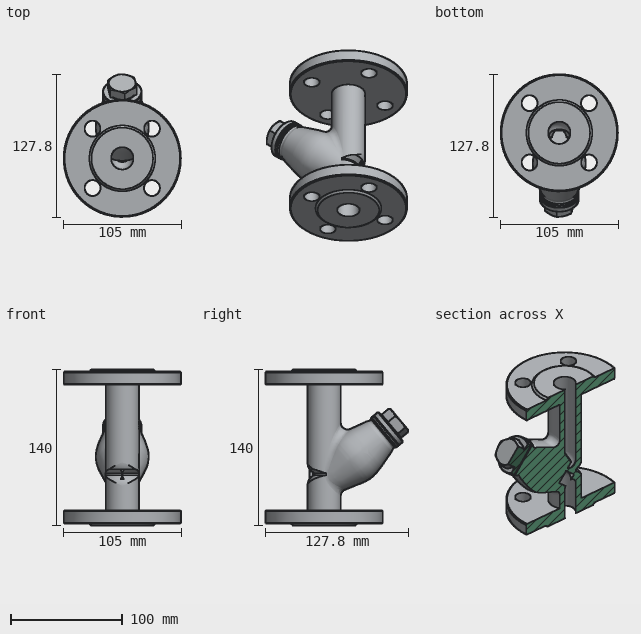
import cadquery as cq
import math

LENGTH = 140.0
PIPE_DIA = 30.0
BORE_DIA = 20.0

FLANGE_DIA = 105.0
FLANGE_THICKNESS = 12.0
FLANGE_CHAMFER = 1.0
FACE_DIA = 59.0
FACE_HEIGHT = 2.0
BOLT_HOLE_DIA = 14.0
BOLT_CIRCLE_DIA = 75.0
BOLT_COUNT = 4

BRANCH_Z = -31.4
BRANCH_TILT = 40.0
BRANCH_FILLET = 6.0

ROOT_RADIUS = 13.3
BULGE_START = (16.8, 10.1)
BULGE_POINTS = [(17.9, 13.3), (20.5, 21.0), (22.8, 28.7), (23.8, 36.4), (23.0, 43.4), (21.4, 50.4)]
BULGE_END = (17.6, 64.1)
NECK_RADIUS = 16.4
NECK_EDGE_RADIUS = 17.0
NECK_BOTTOM = 65.7
NECK_TOP = 68.6
RIM_BOTTOM = 70.1
RIM_TOP = 72.1

CAP_DIA = 35.0
GASKET_THICKNESS = 0.8
DISC_THICKNESS = 4.9
DISC_CHAMFER = 0.5
COLLAR_HEIGHT = 0.7
HEX_SIDES = 6
HEX_FLATS = 24.0
HEX_HEIGHT = 9.4
HEX_TURN = 10.0
HEX_CHAMFER_ANGLE = 30.0

GROOVE_AXIS_Y = 7.0
GROOVE_RADIUS = 15.7
GROOVE_END_Y = 2.0
GROOVE_TOP = -11.2
GROOVE_ROOF_MIDDLE = (21.7, -15.4)
GROOVE_LIP = (20.3, -19.2)
GROOVE_WAIST_TOP = -23.1
GROOVE_WAIST_BOTTOM = -24.6
GROOVE_FLOOR_MIDDLE = (20.0, -28.1)
GROOVE_BOTTOM = -34.3

RIB_WIDTH = 1.0
RIB_FOOT_WIDTH = 3.0
RIB_INNER_Y = -10.1
RIB_OUTER_Y = -13.2
RIB_TOP = -18.2
RIB_FLARE_TOP = -20.0
RIB_NECK_TOP = -21.4
RIB_NECK_BOTTOM = -26.7
RIB_FLARE_BOTTOM = -28.1
RIB_BOTTOM = -29.1

UPPER_BORE_END = -11.5
LOWER_BORE_END = -37.1

PASSAGE_END = 11.6

HALF_LENGTH = LENGTH / 2
PIPE_RADIUS = PIPE_DIA / 2
BORE_RADIUS = BORE_DIA / 2
CAP_RADIUS = CAP_DIA / 2
DISC_BOTTOM = RIM_TOP + GASKET_THICKNESS
DISC_TOP = DISC_BOTTOM + DISC_THICKNESS
HEX_BOTTOM = DISC_TOP + COLLAR_HEIGHT
HEX_TOP = HEX_BOTTOM + HEX_HEIGHT
HEX_CORNER_RADIUS = HEX_FLATS / math.sqrt(3)


def along_branch(distance):
    """Workplane square to the branch axis; its local x points to -Y and up."""
    tilt = math.radians(BRANCH_TILT)
    normal = (0, math.cos(tilt), math.sin(tilt))
    across = (0, -math.sin(tilt), math.cos(tilt))
    origin = (0, distance * normal[1], BRANCH_Z + distance * normal[2])
    return cq.Workplane(cq.Plane(origin=origin, xDir=across, normal=normal))


def onto_branch(shape):
    """Move a shape made about the Z axis onto the branch axis."""
    return shape.rotate((0, 0, 0), (1, 0, 0), BRANCH_TILT - 90).translate((0, 0, BRANCH_Z))


def spin(outline):
    """Turn a closed radius-height outline about the Z axis."""
    return outline.close().revolve(360, (0, 0, 0), (0, 1, 0))


def lower_flange():
    face_bottom_radius = FACE_DIA / 2 - FACE_HEIGHT
    bottom = -HALF_LENGTH + FACE_HEIGHT
    face = spin(
        cq.Workplane("XZ")
        .moveTo(0, -HALF_LENGTH)
        .lineTo(face_bottom_radius, -HALF_LENGTH)
        .lineTo(FACE_DIA / 2, bottom)
        .lineTo(0, bottom)
    )
    disc = (
        cq.Workplane("XY", origin=(0, 0, bottom))
        .circle(FLANGE_DIA / 2)
        .extrude(FLANGE_THICKNESS)
        .edges()
        .chamfer(FLANGE_CHAMFER)
    )
    bolt_holes = (
        cq.Workplane("XY", origin=(0, 0, bottom))
        .polarArray(BOLT_CIRCLE_DIA / 2, 180 / BOLT_COUNT, 360, BOLT_COUNT)
        .circle(BOLT_HOLE_DIA / 2)
        .extrude(FLANGE_THICKNESS)
    )
    return disc.union(face).cut(bolt_holes)


def throat_groove():
    outer_radius = GROOVE_AXIS_Y + PIPE_RADIUS
    ring = spin(
        cq.Workplane("XZ")
        .moveTo(outer_radius, GROOVE_TOP)
        .threePointArc(GROOVE_ROOF_MIDDLE, GROOVE_LIP)
        .lineTo(GROOVE_RADIUS, GROOVE_WAIST_TOP)
        .lineTo(GROOVE_RADIUS, GROOVE_WAIST_BOTTOM)
        .threePointArc(GROOVE_FLOOR_MIDDLE, (outer_radius, GROOVE_BOTTOM))
        .lineTo(outer_radius + PIPE_RADIUS, GROOVE_BOTTOM)
        .lineTo(outer_radius + PIPE_RADIUS, GROOVE_TOP)
    )
    front_space = cq.Workplane("XY").box(FLANGE_DIA, FLANGE_DIA, LENGTH).translate(
        (0, GROOVE_END_Y - FLANGE_DIA / 2, 0)
    )
    return ring.translate((0, GROOVE_AXIS_Y, 0)).intersect(front_space)


def branch():
    outline = (
        cq.Workplane("XZ")
        .lineTo(ROOT_RADIUS, 0)
        .lineTo(*BULGE_START)
        .spline([*BULGE_POINTS, BULGE_END], includeCurrent=True)
        .lineTo(NECK_EDGE_RADIUS, NECK_BOTTOM)
        .threePointArc((NECK_RADIUS, (NECK_BOTTOM + NECK_TOP) / 2), (NECK_EDGE_RADIUS, NECK_TOP))
        .lineTo(CAP_RADIUS, RIM_BOTTOM)
        .lineTo(CAP_RADIUS, RIM_TOP)
        .lineTo(0, RIM_TOP)
    )
    return onto_branch(spin(outline))


def round_ended_bore(mouth_z, end_z):
    bore = cq.Workplane("XY", origin=(0, 0, mouth_z)).circle(BORE_RADIUS).extrude(end_z - mouth_z)
    return bore.union(cq.Workplane("XY", origin=(0, 0, end_z)).sphere(BORE_RADIUS))


def flow_channel():
    """Two bores joined by a tilted passage; the solid part of the bulge stays in the upper bore."""
    upper = round_ended_bore(HALF_LENGTH, UPPER_BORE_END)
    lower = round_ended_bore(-HALF_LENGTH, LOWER_BORE_END)
    passage = along_branch(0).circle(BORE_RADIUS).extrude(PASSAGE_END)
    root_space = along_branch(0).circle(PIPE_DIA).extrude(PASSAGE_END)
    bulge_core = branch().cut(root_space)
    return upper.union(lower).union(passage).cut(bulge_core)


def groove_rib():
    half_foot = RIB_FOOT_WIDTH / 2
    half_neck = RIB_WIDTH / 2
    half_outline = [
        (half_foot, RIB_TOP),
        (half_foot, RIB_FLARE_TOP),
        (half_neck, RIB_NECK_TOP),
        (half_neck, RIB_NECK_BOTTOM),
        (half_foot, RIB_FLARE_BOTTOM),
        (half_foot, RIB_BOTTOM),
    ]
    other_half = [(-x, z) for x, z in reversed(half_outline)]
    rib = cq.Workplane("XZ", origin=(0, RIB_INNER_Y, 0)).polyline(half_outline + other_half).close()
    return rib.extrude(RIB_INNER_Y - RIB_OUTER_Y)


def make_housing():
    pipe = cq.Workplane("XY", origin=(0, 0, -HALF_LENGTH + FACE_HEIGHT)).circle(PIPE_RADIUS)
    pipe = pipe.extrude(LENGTH - 2 * FACE_HEIGHT)
    casting = pipe.union(branch()).edges("%BSPLINE").fillet(BRANCH_FILLET)
    casting = casting.cut(throat_groove()).union(groove_rib())
    bottom_flange = lower_flange()
    top_flange = bottom_flange.mirror("XY")
    body = casting.union(bottom_flange).union(top_flange)
    return body.cut(flow_channel())


def make_gasket():
    return along_branch(RIM_TOP).circle(CAP_RADIUS).extrude(GASKET_THICKNESS)


def hexagon_head():
    """Hexagon prism whose top corners are turned down to a cone."""
    head = along_branch(HEX_BOTTOM).transformed(rotate=(0, 0, HEX_TURN))
    head = head.polygon(HEX_SIDES, 2 * HEX_CORNER_RADIUS).extrude(HEX_HEIGHT)
    flat_radius = HEX_FLATS / 2
    corner_drop = (HEX_CORNER_RADIUS - flat_radius) * math.tan(math.radians(HEX_CHAMFER_ANGLE))
    turned = spin(
        cq.Workplane("XZ")
        .moveTo(0, HEX_BOTTOM)
        .lineTo(HEX_CORNER_RADIUS, HEX_BOTTOM)
        .lineTo(HEX_CORNER_RADIUS, HEX_TOP - corner_drop)
        .lineTo(flat_radius, HEX_TOP)
        .lineTo(0, HEX_TOP)
    )
    return head.intersect(onto_branch(turned))


def make_plug():
    top_radius = CAP_RADIUS - DISC_CHAMFER
    disc = spin(
        cq.Workplane("XZ")
        .moveTo(0, DISC_BOTTOM)
        .lineTo(CAP_RADIUS, DISC_BOTTOM)
        .lineTo(CAP_RADIUS, DISC_TOP - DISC_CHAMFER)
        .lineTo(top_radius, DISC_TOP)
        .lineTo(0, DISC_TOP)
    )
    collar = along_branch(DISC_TOP).circle(HEX_FLATS / 2).extrude(COLLAR_HEIGHT)
    return onto_branch(disc).union(collar).union(hexagon_head())


housing = make_housing()
gasket = make_gasket()
plug = make_plug()
result = cq.Compound.makeCompound([body.solids().val() for body in (housing, gasket, plug)])